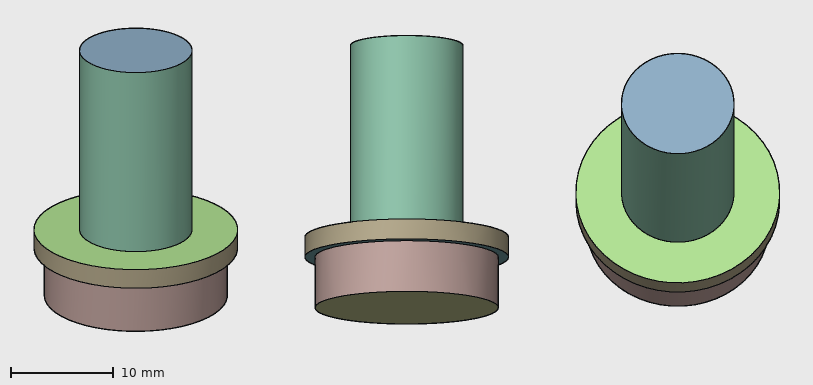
import cadquery as cq

total_height = 26.0
base_height = 5.02
flange_height = 1.98
stem_height = total_height - base_height - flange_height

base_diameter = 17.9
flange_diameter = 19.9
stem_diameter = 11.0


def add_step(body, diameter, height):
    """Stack a coaxial cylinder on the top face of the body."""
    return body.faces(">Z").workplane().circle(diameter / 2).extrude(height)


base = cq.Workplane("XY").circle(base_diameter / 2).extrude(base_height)
flanged_base = add_step(base, flange_diameter, flange_height)
result = add_step(flanged_base, stem_diameter, stem_height)